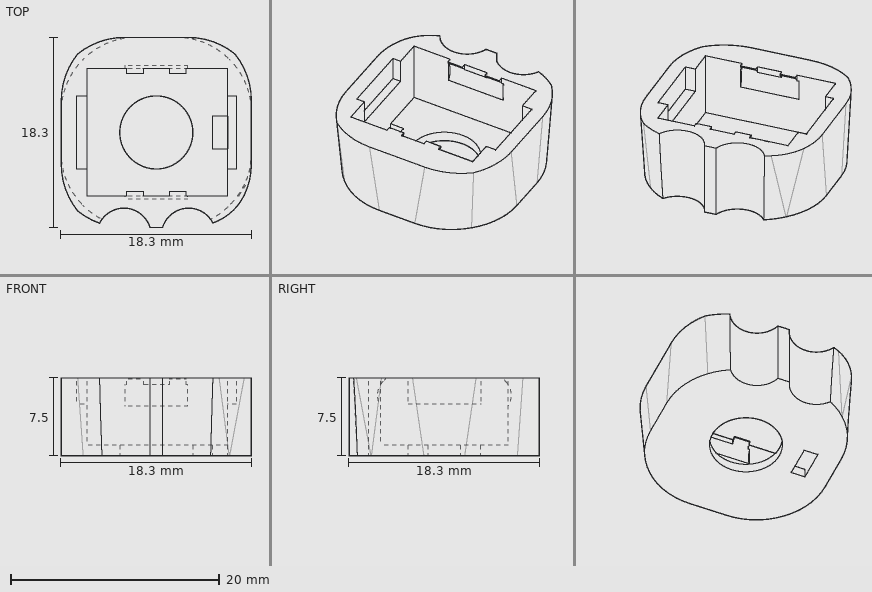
import cadquery as cq
import math

width = 18.3
half_width = width / 2
height = 7.5
top_flat = 3.05
bottom_flat = 1.95
top_corner = 7.55
bottom_corner = 7.03
blend_near = 6.04
blend_far = 8.45
blend_middle = 7.45
blend_sliver = 0.02
blend_bulge = 0.002

scallop_offset = 3.11
scallop_radius = 2.62
scallop_crest = -7.28

floor = 1.08
cavity_left = -6.65
cavity_right = 6.85
cavity_half_depth = 6.13
floor_hole_diameter = 7.0
window_length = 1.43
window_width = 3.15

recess_half_span = 7.69
recess_width = 7.0
recess_depth = 2.5

tab_width = 1.61
tab_offset = 2.05
tab_reach = 0.45
tab_height = 0.65
groove_length = 6.04
groove_radius = 1.95
groove_depth = 0.3
groove_drop = 1.67


def side_arc_middle(flat, near, far):
    """Middle of the arc that leaves a straight side tangentially at `flat`.

    The arc ends `near` along the side and `far` from the body center.
    """
    inset = half_width - far
    run = near - flat
    radius = (inset ** 2 + run ** 2) / (2 * inset)
    half_angle = math.asin(run / radius) / 2
    along = flat + radius * math.sin(half_angle)
    outward = half_width - radius * (1 - math.cos(half_angle))
    return along, outward


def outline(z, flat, corner, near, far, blend):
    """Closed outline with three plain corners and a blended +X, -Y corner."""
    plain_along, plain_out = side_arc_middle(flat, corner, corner)
    along, out = side_arc_middle(flat, near, far)
    profile = (
        cq.Workplane("XY", origin=(0, 0, z))
        .moveTo(half_width, -flat)
        .lineTo(half_width, flat)
        .threePointArc((plain_out, plain_along), (corner, corner))
        .threePointArc((plain_along, plain_out), (flat, half_width))
        .lineTo(-flat, half_width)
        .threePointArc((-plain_along, plain_out), (-corner, corner))
        .threePointArc((-plain_out, plain_along), (-half_width, flat))
        .lineTo(-half_width, -flat)
        .threePointArc((-plain_out, -plain_along), (-corner, -corner))
        .threePointArc((-plain_along, -plain_out), (-flat, -half_width))
        .lineTo(flat, -half_width)
        .threePointArc((along, -out), (near, -far))
        .threePointArc((blend, -blend), (far, -near))
        .threePointArc((out, -along), (half_width, -flat))
        .close()
    )
    return profile.val()


def make_body():
    bottom = outline(
        0,
        bottom_flat,
        bottom_corner,
        bottom_corner - blend_sliver,
        bottom_corner + blend_sliver,
        bottom_corner + blend_bulge,
    )
    top = outline(height, top_flat, top_corner, blend_near, blend_far, blend_middle)
    return cq.Workplane(cq.Solid.makeLoft([bottom, top], True))


def block(x_min, x_max, y_min, y_max, z_min, z_max):
    size = (x_max - x_min, y_max - y_min, z_max - z_min)
    return cq.Workplane().box(*size, centered=False).translate((x_min, y_min, z_min))


def make_scallops():
    return (
        cq.Workplane()
        .pushPoints([(side * scallop_offset, scallop_crest - scallop_radius) for side in (-1, 1)])
        .circle(scallop_radius)
        .extrude(height)
    )


def make_tabs(side):
    """Two blocks at the rim of one Y wall, before they are undercut."""
    y_min, y_max = sorted((side * cavity_half_depth, side * (cavity_half_depth - tab_reach)))
    tabs = cq.Workplane()
    for x in (-tab_offset, tab_offset):
        tab = block(x - tab_width / 2, x + tab_width / 2, y_min, y_max, height - tab_height, height)
        tabs = tabs.add(tab)
    return tabs.combine()


def make_groove(side):
    axis_y = side * (cavity_half_depth + groove_depth - groove_radius)
    return (
        cq.Workplane("YZ")
        .center(axis_y, height - groove_drop)
        .circle(groove_radius)
        .extrude(groove_length / 2, both=True)
    )


cavity = block(cavity_left, cavity_right, -cavity_half_depth, cavity_half_depth, floor, height)
recesses = block(
    -recess_half_span, recess_half_span,
    -recess_width / 2, recess_width / 2,
    height - recess_depth, height,
)
floor_hole = cq.Workplane().circle(floor_hole_diameter / 2).extrude(floor)
window = block(
    cavity_right - window_length, cavity_right,
    -window_width / 2, window_width / 2,
    0, floor,
)

result = make_body().cut(make_scallops()).cut(cavity).cut(recesses).cut(floor_hole).cut(window)
for wall in (-1, 1):
    result = result.union(make_tabs(wall)).cut(make_groove(wall))